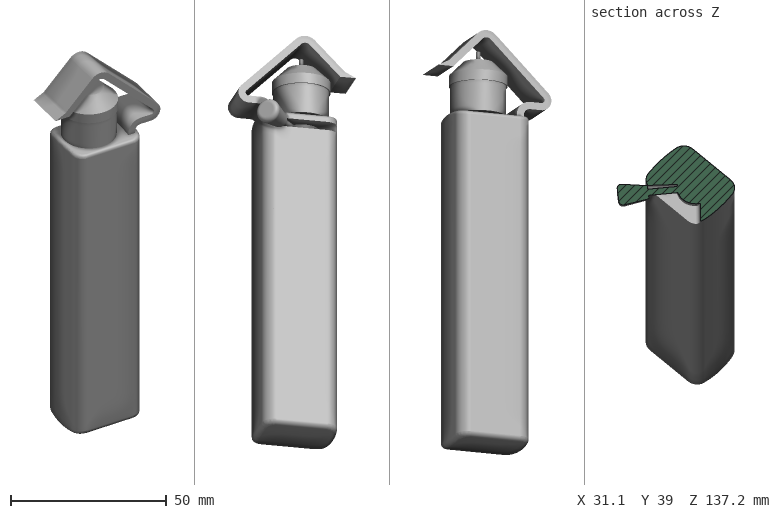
import cadquery as cq
import math


HANDLE_HALF_WIDTH = 10.0
HANDLE_FRONT_Y = -10.75
HANDLE_BACK_Y = 15.25
HANDLE_TOP_Z = 110.1
CROWN_RADIUS = 44.0
CORNER_RADIUS = 4.1
TOP_EDGE_RADIUS = 1.2
BOTTOM_EDGE_RADIUS = 1.7

NECK_RADIUS = 9.0
NECK_SEAT_DEPTH = 0.15
NECK_BOTTOM_Z = HANDLE_TOP_Z - NECK_SEAT_DEPTH
CAP_RADIUS = 9.45
CAP_BOTTOM_Z = 120.0
CAP_SHOULDER_Z = 123.4
CAP_TOP_RADIUS = 4.95
CAP_TOP_Z = CAP_SHOULDER_Z + CAP_RADIUS - CAP_TOP_RADIUS
SPINDLE_RADIUS = 0.75
SPINDLE_TOP_Z = 131.7
SPINDLE_CHAMFER = 0.3

LEVER_Z = 105.45
LEVER_ANGLE = 40.5
SLOT_HEIGHT = 2.8
SLOT_ANGLE = 44.5
SLOT_REACH = 2 * HANDLE_HALF_WIDTH
SLOT_CORE_RADIUS = 6.0
LEVER_PIN_RADIUS = 1.25
KNOB_START = 15.2
KNOB_END = 25.1
KNOB_START_RADIUS = 2.55
KNOB_END_RADIUS = 4.25
KNOB_END_FILLET = 1.5

STRAP_WIDTH = 14.0
STRAP_THICKNESS = 2.4
STRAP_TOP_Z = 137.16
STRAP_BACK_Y = 22.55
STRAP_TIP_Y = -16.44
STRAP_TIP_Z = 124.1
SLOPE = 45.0
APEX_Y = 0.3
APEX_INNER_RADIUS = 2.0
BACK_BEND_INNER_RADIUS = 1.0
FOOT_BEND_INNER_RADIUS = 2.2
FOOT_BEND_Y = 15.25
FOOT_EMBED = 1.5
FLARE_START_Y = -12.5
FLARE_END_Y = -13.3
LIP_SLOPE = 18.0


def crown_rise(half_chord):
    """Height of a crowned face above the chord of the given half length."""
    return CROWN_RADIUS - math.sqrt(CROWN_RADIUS**2 - half_chord**2)


def crowned_rectangle(plane, half_width, low, high):
    """Rectangle whose two short sides bulge outward, reaching low and high."""
    rise = crown_rise(half_width)
    return (
        cq.Workplane(plane)
        .moveTo(-half_width, low + rise)
        .threePointArc((0, low), (half_width, low + rise))
        .lineTo(half_width, high - rise)
        .threePointArc((0, high), (-half_width, high - rise))
        .close()
    )


def make_handle():
    """Grip with crowned front, back, top and bottom and rounded edges."""
    depth = HANDLE_BACK_Y - HANDLE_FRONT_Y
    column = crowned_rectangle("XY", HANDLE_HALF_WIDTH, HANDLE_FRONT_Y, HANDLE_BACK_Y)
    column = column.extrude(HANDLE_TOP_Z).edges("|Z").fillet(CORNER_RADIUS)
    envelope = crowned_rectangle("XZ", HANDLE_HALF_WIDTH, 0, HANDLE_TOP_Z)
    envelope = envelope.extrude(2 * depth, both=True)
    handle = column.intersect(envelope)
    handle = handle.faces("<Z").edges().fillet(BOTTOM_EDGE_RADIUS)
    return handle.faces(">Z").edges().fillet(TOP_EDGE_RADIUS)


def radial_pin(radius, length, angle):
    """Round pin from the Z axis outward at lever height, turned from -X toward +Y."""
    pin = cq.Workplane("YZ").circle(radius).extrude(-length)
    return pin.rotate((0, 0, 0), (0, 0, 1), -angle).translate((0, 0, LEVER_Z))


def make_slot():
    """Slot for the swinging pin: an arc around a round core, with rounded ends."""
    reach_x = SLOT_REACH * math.cos(math.radians(SLOT_ANGLE))
    reach_y = SLOT_REACH * math.sin(math.radians(SLOT_ANGLE))
    slot = (
        cq.Workplane("XY", origin=(0, 0, LEVER_Z - SLOT_HEIGHT / 2))
        .lineTo(-reach_x, reach_y)
        .threePointArc((-SLOT_REACH, 0), (-reach_x, -reach_y))
        .close()
        .extrude(SLOT_HEIGHT)
    )
    for angle in (SLOT_ANGLE, -SLOT_ANGLE):
        slot = slot.union(radial_pin(SLOT_HEIGHT / 2, SLOT_REACH, angle))
    core = (
        cq.Workplane("XY", origin=(0, 0, LEVER_Z))
        .circle(SLOT_CORE_RADIUS)
        .extrude(SLOT_HEIGHT, both=True)
    )
    return slot.cut(core)


def make_lever():
    """Pin and flared knob, pointing outward from the core to -X +Y."""
    profile = [
        (0, KNOB_START),
        (KNOB_START_RADIUS, KNOB_START),
        (KNOB_END_RADIUS, KNOB_END),
        (0, KNOB_END),
    ]
    knob = cq.Workplane("XY").polyline(profile).close().revolve(360, (0, 0), (0, 1))
    knob = knob.faces(">Y").edges().fillet(KNOB_END_FILLET)
    knob = knob.rotate((0, 0, 0), (0, 0, 1), 90 - LEVER_ANGLE).translate((0, 0, LEVER_Z))
    pin_end = (KNOB_START + KNOB_END) / 2
    return knob.union(radial_pin(LEVER_PIN_RADIUS, pin_end, LEVER_ANGLE))


def make_neck():
    """Neck, overhanging conical cap and thin spindle as one turned body."""
    profile = [
        (0, NECK_BOTTOM_Z),
        (NECK_RADIUS, NECK_BOTTOM_Z),
        (NECK_RADIUS, CAP_BOTTOM_Z),
        (CAP_RADIUS, CAP_BOTTOM_Z),
        (CAP_RADIUS, CAP_SHOULDER_Z),
        (CAP_TOP_RADIUS, CAP_TOP_Z),
        (SPINDLE_RADIUS, CAP_TOP_Z),
        (SPINDLE_RADIUS, SPINDLE_TOP_Z - SPINDLE_CHAMFER),
        (SPINDLE_RADIUS - SPINDLE_CHAMFER, SPINDLE_TOP_Z),
        (0, SPINDLE_TOP_Z),
    ]
    return cq.Workplane("XZ").polyline(profile).close().revolve(360, (0, 0), (0, 1))


def on_circle(center, radius, angle):
    """Point at the given angle, in degrees, on a circle in the YZ plane."""
    turn = math.radians(angle)
    return (center[0] + radius * math.cos(turn), center[1] + radius * math.sin(turn))


def make_strap():
    """Strap bent over the cap, with a flared front tip and a foot in the handle."""
    apex_outer = APEX_INNER_RADIUS + STRAP_THICKNESS
    back_outer = BACK_BEND_INNER_RADIUS + STRAP_THICKNESS
    foot_outer = FOOT_BEND_INNER_RADIUS + STRAP_THICKNESS
    apex = (APEX_Y, STRAP_TOP_Z - apex_outer)
    foot = (FOOT_BEND_Y, HANDLE_TOP_Z)
    back_y = STRAP_BACK_Y - back_outer
    back = (back_y, foot[1] + foot_outer + BACK_BEND_INNER_RADIUS)
    foot_z = HANDLE_TOP_Z - FOOT_EMBED

    front_normal = 180 - SLOPE
    front_outer = on_circle(apex, apex_outer, front_normal)
    front_inner = on_circle(apex, APEX_INNER_RADIUS, front_normal)
    flare_start = (FLARE_START_Y, front_outer[1] + FLARE_START_Y - front_outer[0])
    flare_slope = math.radians((SLOPE + LIP_SLOPE) / 2)
    flare_fall = (FLARE_START_Y - FLARE_END_Y) * math.tan(flare_slope)
    flare_end = (FLARE_END_Y, flare_start[1] - flare_fall)
    front_base_y = front_inner[0] - (front_inner[1] - STRAP_TIP_Z)

    outline = (
        cq.Workplane("YZ", origin=(-STRAP_WIDTH / 2, 0, 0))
        .moveTo(*front_outer)
        .lineTo(*flare_start)
        .tangentArcPoint(flare_end, relative=False)
        .lineTo(STRAP_TIP_Y, STRAP_TIP_Z)
        .lineTo(front_base_y, STRAP_TIP_Z)
        .lineTo(*front_inner)
        .threePointArc(
            on_circle(apex, APEX_INNER_RADIUS, 90),
            on_circle(apex, APEX_INNER_RADIUS, SLOPE),
        )
        .lineTo(*on_circle(back, BACK_BEND_INNER_RADIUS, SLOPE))
        .threePointArc(
            on_circle(back, BACK_BEND_INNER_RADIUS, 0),
            on_circle(back, BACK_BEND_INNER_RADIUS, -90),
        )
        .lineTo(*on_circle(foot, foot_outer, 90))
        .threePointArc(on_circle(foot, foot_outer, 135), on_circle(foot, foot_outer, 180))
        .lineTo(foot[0] - foot_outer, foot_z)
        .lineTo(foot[0] - FOOT_BEND_INNER_RADIUS, foot_z)
        .lineTo(foot[0] - FOOT_BEND_INNER_RADIUS, foot[1])
        .threePointArc(
            on_circle(foot, FOOT_BEND_INNER_RADIUS, 135),
            on_circle(foot, FOOT_BEND_INNER_RADIUS, 90),
        )
        .lineTo(*on_circle(back, back_outer, -90))
        .threePointArc(on_circle(back, back_outer, 0), on_circle(back, back_outer, SLOPE))
        .lineTo(*on_circle(apex, apex_outer, SLOPE))
        .threePointArc(on_circle(apex, apex_outer, 90), front_outer)
        .close()
    )
    return outline.extrude(STRAP_WIDTH)


result = make_handle().cut(make_slot())
for piece in (make_neck(), make_lever(), make_strap()):
    result = result.union(piece)